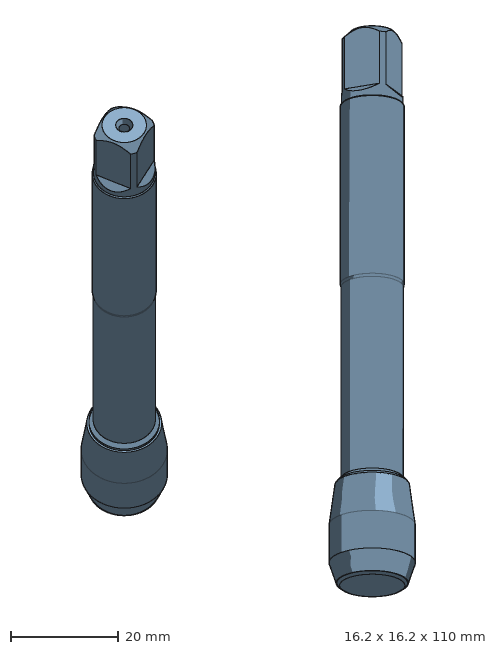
import cadquery as cq
import math

TOTAL_LENGTH = 110.0

HEAD_DIAMETER = 16.17
HEAD_TOP_DIAMETER = 14.0
HEAD_TIP_DIAMETER = 13.5
HEAD_BOTTOM_Z = 0.5
HEAD_LEAD_TOP_Z = 4.5
HEAD_CYLINDER_TOP_Z = 12.0
HEAD_TOP_Z = 20.0

CORE_DIAMETER = 13.2
CORE_TIP_CHAMFER = 0.5
CORE_TOP_Z = 20.5

NECK_DIAMETER = 11.7
SHANK_DIAMETER = 12.0
SHANK_BOTTOM_Z = 60.0
SHANK_TAPER_ANGLE = 15.0
SHANK_TOP_Z = 95.4
DRIVE_DIAMETER = 11.52
DRIVE_END_DIAMETER = 8.3

SQUARE_WIDTH = 9.0
SQUARE_LENGTH = 12.0

HOLE_DIAMETER = 2.0
HOLE_DEPTH = 4.0
HOLE_TIP_ANGLE = 120.0
COUNTERSINK_DIAMETER = 3.2
COUNTERSINK_ANGLE = 60.0


def turned(profile):
    """Revolve a closed (radius, z) outline around the Z axis."""
    return cq.Workplane("XZ").polyline(profile).close().revolve(360, (0, 0), (0, 1))


def cone_height(large_diameter, small_diameter, full_angle):
    """Height of a cone frustum with the given full opening angle."""
    return (large_diameter - small_diameter) / 2 / math.tan(math.radians(full_angle / 2))


def make_turned_blank():
    """Core, neck, shank and round drive end before the square is cut."""
    core_radius = CORE_DIAMETER / 2
    neck_radius = NECK_DIAMETER / 2
    shank_radius = SHANK_DIAMETER / 2
    drive_radius = DRIVE_DIAMETER / 2
    drive_end_radius = DRIVE_END_DIAMETER / 2
    flare_top_z = CORE_TOP_Z + core_radius - neck_radius
    shank_taper = cone_height(SHANK_DIAMETER, NECK_DIAMETER, 2 * SHANK_TAPER_ANGLE)
    return turned([
        (0, 0),
        (core_radius - CORE_TIP_CHAMFER, 0),
        (core_radius, CORE_TIP_CHAMFER),
        (core_radius, CORE_TOP_Z),
        (neck_radius, flare_top_z),
        (neck_radius, SHANK_BOTTOM_Z - shank_taper),
        (shank_radius, SHANK_BOTTOM_Z),
        (shank_radius, SHANK_TOP_Z),
        (drive_radius, SHANK_TOP_Z + shank_radius - drive_radius),
        (drive_radius, TOTAL_LENGTH - (drive_radius - drive_end_radius)),
        (drive_end_radius, TOTAL_LENGTH),
        (0, TOTAL_LENGTH),
    ])


def make_flat_cutter():
    """Cutter for the +X flat, with a 45 degree run-out at its lower end."""
    inner_x = SQUARE_WIDTH / 2
    outer_x = SHANK_DIAMETER
    flat_bottom_z = TOTAL_LENGTH - SQUARE_LENGTH
    return (
        cq.Workplane("XZ")
        .polyline([
            (inner_x, TOTAL_LENGTH),
            (inner_x, flat_bottom_z),
            (outer_x, flat_bottom_z - (outer_x - inner_x)),
            (outer_x, TOTAL_LENGTH),
        ])
        .close()
        .extrude(SHANK_DIAMETER / 2, both=True)
    )


def make_centre_hole():
    """Countersunk blind hole with a drill point."""
    hole_radius = HOLE_DIAMETER / 2
    hole_bottom_z = TOTAL_LENGTH - HOLE_DEPTH
    countersink_depth = cone_height(COUNTERSINK_DIAMETER, HOLE_DIAMETER, COUNTERSINK_ANGLE)
    return turned([
        (0, TOTAL_LENGTH),
        (COUNTERSINK_DIAMETER / 2, TOTAL_LENGTH),
        (hole_radius, TOTAL_LENGTH - countersink_depth),
        (hole_radius, hole_bottom_z),
        (0, hole_bottom_z - cone_height(HOLE_DIAMETER, 0, HOLE_TIP_ANGLE)),
    ])


def make_shaft():
    """Shaft from core to drive square, as one solid."""
    shaft = make_turned_blank()
    flat_cutter = make_flat_cutter()
    for side in range(4):
        shaft = shaft.cut(flat_cutter.rotate((0, 0, 0), (0, 0, 1), side * 90))
    return shaft.cut(make_centre_hole())


def make_head():
    """Head, a sleeve around the core."""
    bore_radius = CORE_DIAMETER / 2
    head_radius = HEAD_DIAMETER / 2
    return turned([
        (bore_radius, HEAD_BOTTOM_Z),
        (HEAD_TIP_DIAMETER / 2, HEAD_BOTTOM_Z),
        (head_radius, HEAD_LEAD_TOP_Z),
        (head_radius, HEAD_CYLINDER_TOP_Z),
        (HEAD_TOP_DIAMETER / 2, HEAD_TOP_Z),
        (bore_radius, HEAD_TOP_Z),
    ])


shaft = make_shaft()
head = make_head()

result = cq.Compound.makeCompound([shaft.val(), head.val()])